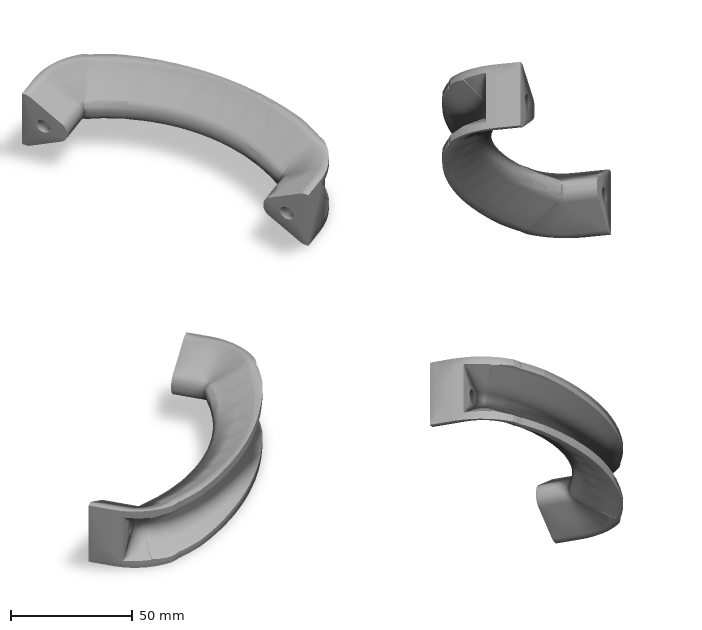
import cadquery as cq
import math

length = 134.0
height = 48.0
width = 28.0

section_depth = 21.0
flat_side_depth = 2.75
flank_slope = math.tan(math.radians(30))
flank_fillet = 5.0
body_tip_fillet = 5.0

foot_height = 15.0
grip_tip_radius = 81.0
grip_tip_height = 28.8

crown_radius = 125.0
shoulder_radius = 30.0

channel_depth = 15.15
channel_half_width = 11.1
channel_side_depth = 0.15
channel_floor_fillet = 3.0

body_seam_angle = 72.0
channel_seam_angle = 33.0

hole_diameter = 6.5
hole_spacing = 114.0

half_length = length / 2
corner_x = section_depth - half_length
quarter_turn = 90.0
clearance = 2 * length
channel_overrun = 5.0


def wedge_section(start_depth, side_half_width, side_depth, tip_depth, tip_fillet):
    """Section with parallel sides, 30 degree flanks and a rounded tip."""
    tip_half_width = side_half_width - (tip_depth - side_depth) * flank_slope
    outline = [
        (start_depth, side_half_width),
        (side_depth, side_half_width),
        (tip_depth, tip_half_width),
        (tip_depth, -tip_half_width),
        (side_depth, -side_half_width),
        (start_depth, -side_half_width),
        (start_depth, side_half_width),
    ]
    sketch = cq.Sketch().polygon(outline)
    sketch = sketch.vertices("not (<X or >X)").fillet(flank_fillet).reset()
    return sketch.vertices(">X").fillet(tip_fillet).reset()


def foot_plane():
    """Section plane on top of the left foot: local x is +X, local y is +Z."""
    return cq.Workplane("XZ", origin=(-half_length, foot_height, 0))


def half_bend(section, seam_angle):
    """Sweep a section round the left corner and along the left half of the grip arc."""
    corner = foot_plane().placeSketch(section).revolve(
        seam_angle, (section_depth, 0), (section_depth, -1)
    )

    apex_plane = cq.Plane(
        origin=(0, grip_tip_height + section_depth, 0), xDir=(0, -1, 0), normal=(-1, 0, 0)
    )
    grip_axis_depth = section_depth + grip_tip_radius
    grip = (
        cq.Workplane(apex_plane)
        .placeSketch(section)
        .revolve(quarter_turn, (grip_axis_depth, 0), (grip_axis_depth, 1))
    )

    seam = math.radians(seam_angle)
    seam_end = (
        corner_x - clearance * math.cos(seam),
        foot_height + clearance * math.sin(seam),
    )
    grip_side = (
        cq.Workplane("XY")
        .moveTo(corner_x, foot_height)
        .lineTo(*seam_end)
        .lineTo(0, seam_end[1])
        .lineTo(0, foot_height)
        .close()
        .extrude(clearance / 2, both=True)
    )
    return corner.union(grip.intersect(grip_side))


def back_envelope():
    """Prism bounded by the mounting face, the ends, the shoulders and the crown."""
    crown_center_y = height - crown_radius
    shoulder_center_x = half_length - shoulder_radius
    center_distance = crown_radius - shoulder_radius
    rise = math.sqrt(center_distance**2 - shoulder_center_x**2)
    shoulder_center_y = crown_center_y + rise

    tangent_x = crown_radius * shoulder_center_x / center_distance
    tangent_y = crown_center_y + crown_radius * rise / center_distance

    tangent_angle = math.atan2(rise, shoulder_center_x)
    mid_x = shoulder_center_x + shoulder_radius * math.cos(tangent_angle / 2)
    mid_y = shoulder_center_y + shoulder_radius * math.sin(tangent_angle / 2)
    return (
        cq.Workplane("XY")
        .moveTo(-half_length, 0)
        .lineTo(half_length, 0)
        .lineTo(half_length, shoulder_center_y)
        .threePointArc((mid_x, mid_y), (tangent_x, tangent_y))
        .threePointArc((0, height), (-tangent_x, tangent_y))
        .threePointArc((-mid_x, mid_y), (-half_length, shoulder_center_y))
        .close()
        .extrude(width, both=True)
    )


def mounting_holes():
    """Plain holes through both feet, from the mounting face into the channel."""
    return (
        cq.Workplane("XZ")
        .pushPoints([(-hole_spacing / 2, 0), (hole_spacing / 2, 0)])
        .circle(hole_diameter / 2)
        .extrude(-foot_height)
    )


body_section = wedge_section(0, width / 2, flat_side_depth, section_depth, body_tip_fillet)
channel_section = wedge_section(
    -channel_overrun, channel_half_width, channel_side_depth, channel_depth, channel_floor_fillet
)

foot = foot_plane().placeSketch(body_section).extrude(foot_height)
half_body = foot.union(half_bend(body_section, body_seam_angle))
half_channel = half_bend(channel_section, channel_seam_angle)
half_handle = half_body.intersect(back_envelope()).cut(half_channel)
handle = half_handle.union(half_handle.mirror("YZ"))
result = handle.cut(mounting_holes())